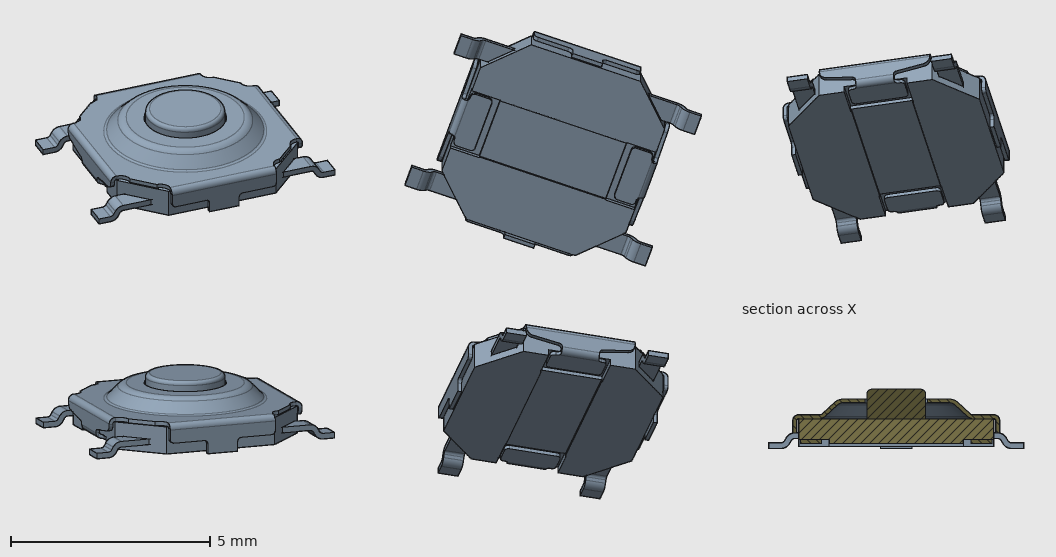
import cadquery as cq
import math

SHEET = 0.1
BEND_OUTER = 0.155
BEND_INNER = BEND_OUTER - SHEET
BASE_BOTTOM = 0.05
BASE_TOP = 0.75
COVER_TOP = BASE_TOP + SHEET
DOME_TOP = 1.25
BUTTON_TOP = 1.5

BASE_WIDTH = 4.9
BASE_CHAMFER = 1.0
RECESS_WIDTH = 1.61
RECESS_LENGTH = 0.77
CHANNEL_WIDTH = 1.575

COVER_HALF = 2.6
BEND_START = COVER_HALF - BEND_OUTER
SKIRT_HALF = 1.415
SKIRT_ROOT = BEND_START - SHEET
RELIEF_RADIUS = 0.25
RELIEF_DEPTH = 0.01
DOME_BASE_RADIUS = 2.0
DOME_TOP_RADIUS = DOME_BASE_RADIUS - (DOME_TOP - COVER_TOP)
DOME_TOP_FILLET = 0.3
DOME_FOOT_FILLET = 0.1
DOME_RING_RADIUS = 2.11
BUTTON_HOLE_RADIUS = 1.03

SIDE_SKIRT_BOTTOM = 0.35
SIDE_TAB_HALF = 0.4
SIDE_CORNER_RADIUS = 0.1

END_TAB_HALF = 0.485
END_SLOPE_OUTER_Z = 0.51
END_SLOPE_INNER_Z = 0.36
END_CORNER_RADIUS = 0.2
END_TAB_FILLET = 0.1
FOOT_TOP = 0.225
FOOT_BOTTOM = FOOT_TOP - SHEET
FOOT_HALF = 0.72
FOOT_FRONT = 2.42
FOOT_BACK = 1.855
FOOT_CORNER_RADIUS = 0.1

BUTTON_RADIUS = 1.0
BUTTON_FILLET = 0.1

LEAD_X = 1.85
LEAD_WIDTH = 0.52
LEAD_THICKNESS = 0.15
LEAD_TOP = 0.4
LEAD_TIP = 3.2
LEAD_ROOT = 1.665
LEAD_BEND_Y = 2.69
LEAD_SLOPE = math.radians(60)
LEAD_INNER_RADIUS = 0.1
LEAD_OUTER_RADIUS = LEAD_INNER_RADIUS + LEAD_THICKNESS


def box(x_range, y_range, z_range):
    """Axis-aligned box between pairs of limits."""
    (x0, x1), (y0, y1), (z0, z1) = x_range, y_range, z_range
    return cq.Workplane("XY").box(x1 - x0, y1 - y0, z1 - z0, centered=False).translate((x0, y0, z0))


def make_lead(x_side, y_side):
    """Gull-wing terminal: a flat bar bent down to the mounting plane."""
    lead_bottom = LEAD_TOP - LEAD_THICKNESS
    slope_run = (LEAD_TOP - LEAD_THICKNESS) / math.tan(LEAD_SLOPE)
    mitre_shift = LEAD_THICKNESS * math.tan(LEAD_SLOPE / 2)
    upper_outer = (LEAD_BEND_Y, LEAD_TOP)
    lower_inner = (LEAD_BEND_Y + slope_run, LEAD_THICKNESS)
    lower_outer = (lower_inner[0] - mitre_shift, 0)
    upper_inner = (upper_outer[0] - mitre_shift, lead_bottom)
    lead = (
        cq.Workplane("YZ")
        .polyline([
            (LEAD_ROOT, LEAD_TOP),
            upper_outer,
            lower_inner,
            (LEAD_TIP, LEAD_THICKNESS),
            (LEAD_TIP, 0),
            lower_outer,
            upper_inner,
            (LEAD_ROOT, lead_bottom),
        ])
        .close()
        .extrude(LEAD_WIDTH / 2, both=True)
    )
    for corner in (upper_outer, lower_outer):
        lead = lead.edges(cq.NearestToPointSelector((0, *corner))).fillet(LEAD_OUTER_RADIUS)
    for corner in (upper_inner, lower_inner):
        lead = lead.edges(cq.NearestToPointSelector((0, *corner))).fillet(LEAD_INNER_RADIUS)
    if y_side < 0:
        lead = lead.mirror("XZ")
    return lead.translate((x_side * LEAD_X, 0, 0))


def make_base(leads):
    """Octagonal moulding with foot recesses underneath and seats for the terminals."""
    half = BASE_WIDTH / 2
    base = (
        box((-half, half), (-half, half), (BASE_BOTTOM, BASE_TOP))
        .edges("|Z")
        .chamfer(BASE_CHAMFER)
    )
    channel_half = CHANNEL_WIDTH / 2
    base = base.cut(box((-channel_half, channel_half), (-half, half), (BASE_BOTTOM, FOOT_BOTTOM)))
    recess_half = RECESS_WIDTH / 2
    recess = box((-recess_half, recess_half), (half - RECESS_LENGTH, half), (BASE_BOTTOM, FOOT_TOP))
    base = base.cut(recess).cut(recess.mirror("XZ"))
    for lead in leads:
        base = base.cut(lead)
    return base


def make_dome():
    """Raised 45 degree dome with its flat rim and the button hole, of constant sheet thickness."""
    shift = SHEET * math.tan(math.radians(45) / 2)
    top_outer = (DOME_TOP_RADIUS, DOME_TOP)
    foot_outer = (DOME_BASE_RADIUS, COVER_TOP)
    top_inner = (DOME_TOP_RADIUS - shift, DOME_TOP - SHEET)
    foot_inner = (DOME_BASE_RADIUS - shift, BASE_TOP)
    dome = (
        cq.Workplane("XZ")
        .polyline([
            (BUTTON_HOLE_RADIUS, DOME_TOP),
            top_outer,
            foot_outer,
            (DOME_RING_RADIUS, COVER_TOP),
            (DOME_RING_RADIUS, BASE_TOP),
            foot_inner,
            top_inner,
            (BUTTON_HOLE_RADIUS, DOME_TOP - SHEET),
        ])
        .close()
        .revolve(360, (0, 0, 0), (0, 1, 0))
    )
    bends = [
        (top_outer, DOME_TOP_FILLET),
        (top_inner, DOME_TOP_FILLET - SHEET),
        (foot_outer, DOME_FOOT_FILLET),
        (foot_inner, DOME_FOOT_FILLET + SHEET),
    ]
    for (radius, z), fillet_radius in bends:
        circle = dome.edges("%CIRCLE").filter(
            lambda e: abs(e.radius() - radius) < 0.0005 and abs(e.Center().z - z) < 0.0005
        )
        dome = circle.fillet(fillet_radius)
    return dome


def make_plate():
    """Flat top of the cover: chamfered square with a round relief at both ends of each chamfer."""
    relief_y = BEND_START - RELIEF_DEPTH
    chamfer_far = SKIRT_HALF + RELIEF_RADIUS
    chamfer_near = relief_y - RELIEF_RADIUS
    arm = box((-SKIRT_HALF, SKIRT_HALF), (-BEND_START, BEND_START), (BASE_TOP, COVER_TOP))
    arm = arm.union(arm.rotate((0, 0, 0), (0, 0, 1), 90))
    octagon = (
        cq.Workplane("XY", origin=(0, 0, BASE_TOP))
        .rect(2 * relief_y, 2 * relief_y)
        .extrude(SHEET)
        .edges("|Z")
        .chamfer(2 * relief_y - chamfer_far - chamfer_near)
    )
    relief = (
        cq.Workplane("XY", origin=(0, 0, BASE_TOP))
        .pushPoints([
            (sx * x, sy * y)
            for sx in (-1, 1)
            for sy in (-1, 1)
            for x, y in ((chamfer_far, relief_y), (relief_y, chamfer_far))
        ])
        .circle(RELIEF_RADIUS)
        .extrude(SHEET)
    )
    seat = cq.Workplane("XY", origin=(0, 0, BASE_TOP)).circle(DOME_RING_RADIUS).extrude(SHEET)
    return octagon.union(arm).cut(relief).cut(seat)


def bent_strip(profile, bends):
    """Full-width strip on the +Y side from a sharp YZ profile, rounded at the listed bend corners."""
    strip = cq.Workplane("YZ").polyline(profile).close().extrude(SKIRT_HALF, both=True)
    for corner, radius in bends:
        strip = strip.edges(cq.NearestToPointSelector((0, *corner))).fillet(radius)
    return strip


def skirt_outline(tab_half, outer_z, inner_z, bottom, corner_radius, tab_fillet):
    """Block whose XZ shape is a skirt that narrows to a central tab; spans the +Y side of the part."""
    depth = COVER_HALF
    block = (
        cq.Workplane("XZ")
        .polyline([
            (-SKIRT_HALF, COVER_TOP),
            (-SKIRT_HALF, outer_z),
            (-tab_half, inner_z),
            (-tab_half, bottom),
            (tab_half, bottom),
            (tab_half, inner_z),
            (SKIRT_HALF, outer_z),
            (SKIRT_HALF, COVER_TOP),
        ])
        .close()
        .extrude(-depth)
    )
    for side in (-1, 1):
        corner = (side * SKIRT_HALF, depth / 2, outer_z)
        block = block.edges(cq.NearestToPointSelector(corner)).fillet(corner_radius)
        root = (side * tab_half, depth / 2, inner_z)
        block = block.edges(cq.NearestToPointSelector(root)).fillet(tab_fillet)
    return block


def make_side_skirt():
    """Skirt with a straight tab that reaches the mounting plane, on the +Y side before turning."""
    inner_y = COVER_HALF - SHEET
    top_outer = (COVER_HALF, COVER_TOP)
    top_inner = (inner_y, BASE_TOP)
    strip = bent_strip(
        [(SKIRT_ROOT, COVER_TOP), top_outer, (COVER_HALF, 0), (inner_y, 0), top_inner, (SKIRT_ROOT, BASE_TOP)],
        [(top_outer, BEND_OUTER), (top_inner, BEND_INNER)],
    )
    outline = skirt_outline(
        SIDE_TAB_HALF, SIDE_SKIRT_BOTTOM, SIDE_SKIRT_BOTTOM, 0, SIDE_CORNER_RADIUS, SIDE_CORNER_RADIUS
    )
    return strip.intersect(outline)


def make_foot_outline(top):
    """Block whose plan shape is the tab neck widening into the foot under the base."""
    neck = box((-END_TAB_HALF, END_TAB_HALF), (FOOT_BACK, COVER_HALF), (FOOT_BOTTOM, top))
    pad = box((-FOOT_HALF, FOOT_HALF), (FOOT_BACK, FOOT_FRONT), (FOOT_BOTTOM, top))
    outline = pad.edges("|Z").fillet(FOOT_CORNER_RADIUS).union(neck)
    mid_z = (FOOT_BOTTOM + top) / 2
    for side in (-1, 1):
        root = (side * END_TAB_HALF, FOOT_FRONT, mid_z)
        outline = outline.edges(cq.NearestToPointSelector(root)).fillet(FOOT_CORNER_RADIUS)
    return outline


def make_end_skirt():
    """Skirt on the +Y side whose tab folds under the base and widens into a foot."""
    inner_y = COVER_HALF - SHEET
    top_outer = (COVER_HALF, COVER_TOP)
    top_inner = (inner_y, BASE_TOP)
    fold_outer = (COVER_HALF, FOOT_BOTTOM)
    fold_inner = (inner_y, FOOT_TOP)
    strip = bent_strip(
        [
            (SKIRT_ROOT, COVER_TOP),
            top_outer,
            fold_outer,
            (FOOT_BACK, FOOT_BOTTOM),
            (FOOT_BACK, FOOT_TOP),
            fold_inner,
            top_inner,
            (SKIRT_ROOT, BASE_TOP),
        ],
        [
            (top_outer, BEND_OUTER),
            (top_inner, BEND_INNER),
            (fold_outer, BEND_OUTER),
            (fold_inner, BEND_INNER),
        ],
    )
    fold_start = FOOT_BOTTOM + BEND_OUTER
    outline = skirt_outline(
        END_TAB_HALF, END_SLOPE_OUTER_Z, END_SLOPE_INNER_Z, FOOT_BOTTOM, END_CORNER_RADIUS, END_TAB_FILLET
    )
    skirt = strip.intersect(outline)
    foot = strip.intersect(make_foot_outline(fold_start))
    return skirt.union(foot)


def make_cover():
    """Pressed sheet cover: plate, dome, two side skirts and two end skirts with feet."""
    cover = make_plate().union(make_dome())
    side_skirt = make_side_skirt()
    end_skirt = make_end_skirt()
    for turn in (0, 180):
        cover = cover.union(end_skirt.rotate((0, 0, 0), (0, 0, 1), turn))
        cover = cover.union(side_skirt.rotate((0, 0, 0), (0, 0, 1), turn + 90))
    return cover


def make_button():
    """Round push button standing on the base inside the dome hole."""
    return (
        cq.Workplane("XY", origin=(0, 0, BASE_TOP))
        .circle(BUTTON_RADIUS)
        .extrude(BUTTON_TOP - BASE_TOP)
        .faces(">Z")
        .edges()
        .fillet(BUTTON_FILLET)
    )


leads = [make_lead(x_side, y_side) for x_side in (-1, 1) for y_side in (-1, 1)]
base = make_base(leads)
cover = make_cover()
button = make_button()

result = cq.Compound.makeCompound([base.val(), cover.val(), button.val(), *[lead.val() for lead in leads]])